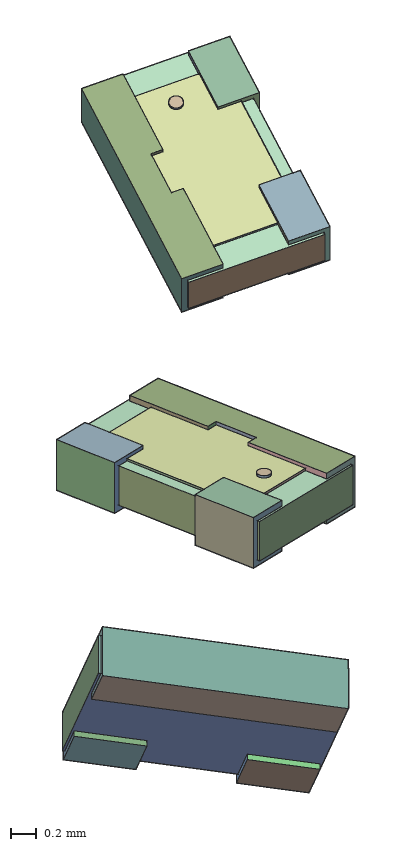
import cadquery as cq

SUBSTRATE_LENGTH = 2.0
TOTAL_WIDTH = 1.25
TOTAL_HEIGHT = 0.45
WRAP_THICKNESS = 0.05
SUBSTRATE_WIDTH = TOTAL_WIDTH - 2 * WRAP_THICKNESS
SUBSTRATE_HEIGHT = TOTAL_HEIGHT - 2 * WRAP_THICKNESS
SUBSTRATE_TOP = SUBSTRATE_HEIGHT / 2

END_INSET = 0.02
TERMINAL_SPAN = SUBSTRATE_LENGTH - 2 * END_INSET
TERMINAL_DEPTH = 0.35
CORNER_TERMINAL_LENGTH = 0.58
CORNER_TERMINAL_X = (TERMINAL_SPAN - CORNER_TERMINAL_LENGTH) / 2
NOTCH_LENGTH = 0.4
NOTCH_DEPTH = 0.1

PLATE_LENGTH = 1.535
PLATE_WIDTH = 0.948
PLATE_THICKNESS = 0.02
PLATE_TOP = SUBSTRATE_TOP + PLATE_THICKNESS
MARK_DIAMETER = 0.115
MARK_HEIGHT = 0.02
MARK_X = -0.58


def make_substrate():
    return cq.Workplane("XY").box(SUBSTRATE_LENGTH, SUBSTRATE_WIDTH, SUBSTRATE_HEIGHT)


def make_plate():
    """Cover plate lying on the substrate; its edges run under the terminals."""
    return (
        cq.Workplane("XY")
        .workplane(offset=SUBSTRATE_TOP)
        .rect(PLATE_LENGTH, PLATE_WIDTH)
        .extrude(PLATE_THICKNESS)
    )


def make_mark():
    return (
        cq.Workplane("XY")
        .workplane(offset=PLATE_TOP)
        .center(MARK_X, 0)
        .circle(MARK_DIAMETER / 2)
        .extrude(MARK_HEIGHT)
    )


def make_terminal(length, center_x, side):
    """C-shaped terminal on the long edge at +Y (side = 1) or -Y (side = -1)."""
    center_y = side * (TOTAL_WIDTH - TERMINAL_DEPTH) / 2
    block = cq.Workplane("XY").box(length, TERMINAL_DEPTH, TOTAL_HEIGHT)
    block = block.translate((center_x, center_y, 0))
    return block.cut(make_substrate()).cut(make_plate())


def make_front_terminal():
    """Full-length terminal with a notch in the inner edge of its upper arm."""
    inner_edge_y = TERMINAL_DEPTH - TOTAL_WIDTH / 2
    notch = (
        cq.Workplane("XY")
        .workplane(offset=SUBSTRATE_TOP)
        .center(0, inner_edge_y - NOTCH_DEPTH / 2)
        .rect(NOTCH_LENGTH, NOTCH_DEPTH)
        .extrude(WRAP_THICKNESS)
    )
    return make_terminal(TERMINAL_SPAN, 0, -1).cut(notch)


substrate = make_substrate()
plate = make_plate()
mark = make_mark()
front_terminal = make_front_terminal()
corner_terminals = [
    make_terminal(CORNER_TERMINAL_LENGTH, x, 1) for x in (-CORNER_TERMINAL_X, CORNER_TERMINAL_X)
]

result = cq.Compound.makeCompound(
    [
        substrate.val(),
        plate.val(),
        mark.val(),
        front_terminal.val(),
        *[terminal.val() for terminal in corner_terminals],
    ]
)